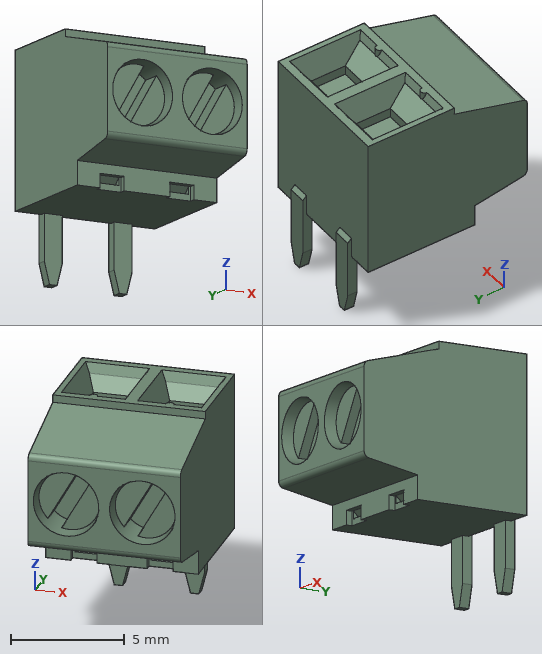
import cadquery as cq
import math


pole_pitch = 3.5
pole_count = 2
body_width = pole_pitch * pole_count
body_depth = 8.5
body_height = 7.3
top_depth = 4.6
top_lip = 0.35
base_depth = 5.7
base_step = 1.11
upper_slope = 15.0
lower_slope = 10.0
nose_radius = 0.3

screw_height = 3.8
screw_well_diameter = 3.0
screw_head_diameter = 2.8
screw_head_sink = 0.55
screw_head_length = 1.3
gap_cone_angle = 18.0
screw_slot_width = 0.73
screw_slot_depth = 1.0
screw_slot_angle = 60.0

mouth_width = 2.93
mouth_back = 0.42
mouth_front = 4.2
throat_width = 1.77
throat_back = 1.18
throat_front = 2.99
funnel_depth = 1.1
throat_depth = 0.48
back_bend_offset = 0.635
back_bend_depth = 0.44
front_bend_offset = 4.03
front_bend_depth = 0.38
rib_radius = 0.19

recess_width = 1.2
recess_height = 0.66
recess_depth = 0.3
pocket_width = 1.0
pocket_height = 0.36
pocket_depth = 0.4

pin_width = 0.905
pin_thickness = 0.5
pin_protrusion = 0.2
pin_length = 3.2
pin_rise = 1.07
pin_taper_length = 1.03
pin_tip_width = 0.38

pole_positions = [(i - (pole_count - 1) / 2) * pole_pitch for i in range(pole_count)]


def side_prism(outline, width, x_center):
    """Extrude a (Y, Z) outline along X, centred on x_center."""
    prism = cq.Workplane("YZ").polyline(outline).close().extrude(width / 2, both=True)
    return prism.translate((x_center, 0, 0))


def front_prism(outline, y_back, y_front):
    """Extrude an (X, Z) outline along Y from y_back forward to y_front."""
    return cq.Workplane("XZ", origin=(0, y_back, 0)).polyline(outline).close().extrude(y_back - y_front)


def make_housing():
    nose_top = body_height - top_lip - (body_depth - top_depth) * math.tan(math.radians(upper_slope))
    nose_bottom = base_step + (body_depth - base_depth) * math.tan(math.radians(lower_slope))
    outline = [
        (0, 0),
        (-base_depth, 0),
        (-base_depth, base_step),
        (-body_depth, nose_bottom),
        (-body_depth, nose_top),
        (-top_depth, body_height - top_lip),
        (-top_depth, body_height),
        (0, body_height),
    ]
    nose_edges = cq.selectors.BoxSelector(
        (-body_width, -body_depth - nose_radius, nose_bottom - nose_radius),
        (body_width, -body_depth + nose_radius, nose_top + nose_radius),
    )
    return side_prism(outline, body_width, 0).edges("|X").edges(nose_edges).fillet(nose_radius)


def make_screw_well(x):
    """Round well around a sunk, slotted screw head, with a thin gap that ends in a shallow cone."""
    head_radius = screw_head_diameter / 2
    well_radius = screw_well_diameter / 2
    head_front = screw_head_sink - body_depth
    gap_end = head_front + screw_head_length
    wall_end = gap_end - (well_radius - head_radius) * math.tan(math.radians(gap_cone_angle))
    well_profile = [
        (0, -body_depth),
        (well_radius, -body_depth),
        (well_radius, wall_end),
        (head_radius, gap_end),
        (head_radius, head_front),
        (0, head_front),
    ]
    well = cq.Workplane("XY").polyline(well_profile).close().revolve(360, (0, 0), (0, 1))
    well = well.translate((x, 0, screw_height))
    slot_floor = cq.Workplane("XZ", origin=(x, head_front + screw_slot_depth, screw_height))
    slot = (
        slot_floor.transformed(rotate=(0, 0, screw_slot_angle))
        .rect(screw_well_diameter, screw_slot_width)
        .extrude(screw_slot_depth)
    )
    head = slot_floor.circle(head_radius).extrude(screw_slot_depth)
    return well.union(slot.intersect(head))


def make_funnel(x):
    """Funnel with straight side walls, bent front and back walls, and a rib on the front wall."""
    throat_top = body_height - funnel_depth
    floor = throat_top - throat_depth
    length_outline = [
        (-mouth_back, body_height),
        (-back_bend_offset, body_height - back_bend_depth),
        (-throat_back, throat_top),
        (-throat_back, floor),
        (-throat_front, floor),
        (-throat_front, throat_top),
        (-front_bend_offset, body_height - front_bend_depth),
        (-mouth_front, body_height),
    ]
    width_outline = [
        (x - mouth_width / 2, body_height),
        (x - throat_width / 2, throat_top),
        (x - throat_width / 2, floor),
        (x + throat_width / 2, floor),
        (x + throat_width / 2, throat_top),
        (x + mouth_width / 2, body_height),
    ]
    lengthwise = side_prism(length_outline, mouth_width, x)
    crosswise = front_prism(width_outline, -mouth_back, -mouth_front)
    rib = (
        cq.Workplane("XY", origin=(x, -mouth_front, throat_top))
        .circle(rib_radius)
        .extrude(funnel_depth)
    )
    return lengthwise.intersect(crosswise).cut(rib)


def make_recess(x):
    """Notch open to the front and below, with a wedge pocket under its ceiling."""
    notch_back = recess_depth - base_depth
    notch = cq.Workplane("XY").box(
        recess_width, recess_depth, recess_height, centered=(True, False, False)
    ).translate((x, -base_depth, 0))
    pocket_outline = [
        (notch_back, recess_height),
        (notch_back + pocket_depth, recess_height - pocket_height),
        (notch_back, recess_height - pocket_height),
    ]
    return notch.union(side_prism(pocket_outline, pocket_width, x))


def make_pin(x):
    """Flat pin with a tapered tip and a chamfered upper back edge."""
    outline = [
        (x - pin_width / 2, pin_rise),
        (x - pin_width / 2, pin_taper_length - pin_length),
        (x - pin_tip_width / 2, -pin_length),
        (x + pin_tip_width / 2, -pin_length),
        (x + pin_width / 2, pin_taper_length - pin_length),
        (x + pin_width / 2, pin_rise),
    ]
    pin = front_prism(outline, pin_protrusion, pin_protrusion - pin_thickness)
    return pin.faces(">Z").edges(">Y").chamfer(pin_protrusion)


result = make_housing()
for x in pole_positions:
    result = result.cut(make_screw_well(x))
    result = result.cut(make_funnel(x))
    result = result.cut(make_recess(x))
    result = result.union(make_pin(x))